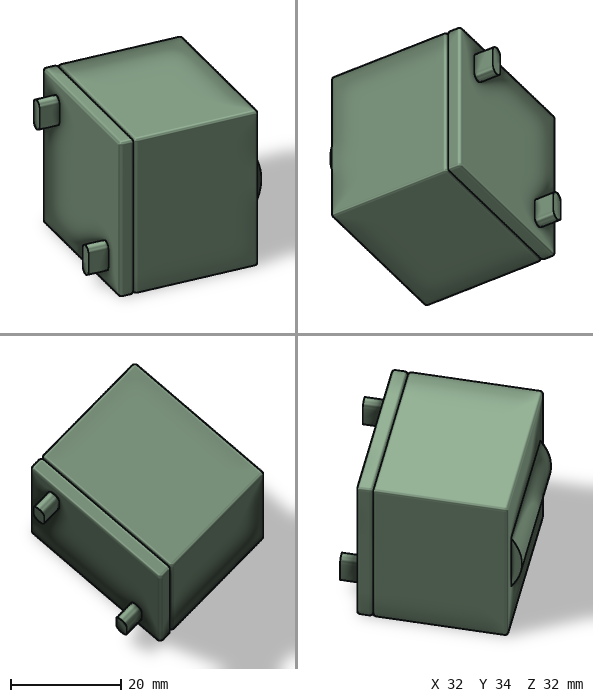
import cadquery as cq

case_width = 32.0
edge_radius = 0.68
housing_depth = 25.0
cover_depth = 3.0

bulge_length = 26.0
bulge_radius = 10.0
bulge_height = 2.0

pin_width = 2.5
pin_height = 6.0
pin_offset_x = 10.13
pin_offset_z = 10.0

total_depth = 34.0
pin_length = total_depth - housing_depth - cover_depth - bulge_height

housing_back = housing_depth
cover_front = -cover_depth
bulge_axis = housing_back + bulge_height - bulge_radius


def make_rounded_block(front, depth):
    """Square block from Y = front backwards, rounded on every edge."""
    return (
        cq.Workplane("XY")
        .box(case_width, depth, case_width)
        .edges()
        .fillet(edge_radius)
        .translate((0, front + depth / 2, 0))
    )


def make_housing():
    """Rounded block with part of a cylinder standing out of its back face."""
    bulge = (
        cq.Workplane("YZ")
        .center(bulge_axis, 0)
        .circle(bulge_radius)
        .extrude(bulge_length / 2, both=True)
    )
    return make_rounded_block(0, housing_depth).union(bulge)


def make_cover():
    """Thin rounded block in front of the housing."""
    return make_rounded_block(cover_front, cover_depth)


def make_pin(x, z):
    """Upright pin with round ends, pointing forward from the cover."""
    return (
        cq.Workplane("XZ", origin=(x, cover_front, z))
        .slot2D(pin_height, pin_width, angle=90)
        .extrude(pin_length)
    )


housing = make_housing()
cover = make_cover()

pins = []
for side in (-1, 1):
    pins.append(make_pin(side * pin_offset_x, -side * pin_offset_z))

result = cq.Compound.makeCompound([housing.val(), cover.val(), *[pin.val() for pin in pins]])